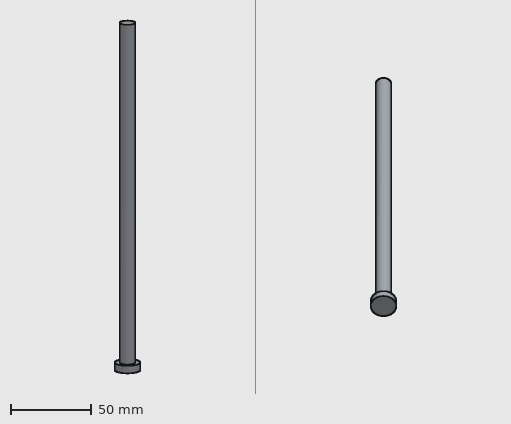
import cadquery as cq

total_length = 225.0
head_diameter = 16.0
head_height = 5.0
shank_diameter = 10.0

head = cq.Workplane("XY").circle(head_diameter / 2).extrude(head_height)
shank = cq.Workplane("XY").circle(shank_diameter / 2).extrude(total_length)

result = head.union(shank)